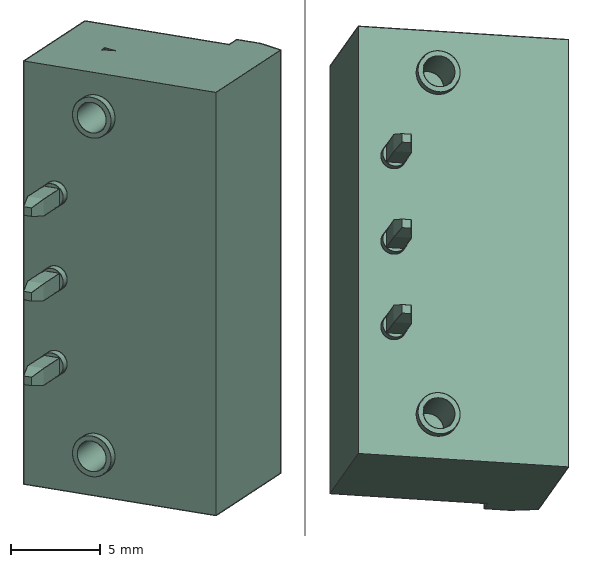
import cadquery as cq

width = 12.0
height = 25.0
body_depth = 7.65
lip_rise = 0.95
lip_start = 9.0
slope_start = 10.5
slope_drop = 0.5

pin_count = 3
pin_pitch = 5.0
pin_x = 2.0
pin_size = 1.0
pin_tip_size = 0.5
pin_length = 3.5
tip_length = 1.0
collar_diameter = 1.42
standoff = 0.5

peg_x = 4.5
peg_spacing = 20.0
peg_diameter = 2.4
peg_bore = 1.8
peg_bore_depth = 3.0

marker_x = 3.05
marker_y = 3.85
marker_length = 0.75
marker_width = 0.4
marker_depth = 0.1

center_z = height / 2
lip_top = body_depth + lip_rise
pin_heights = [center_z + (i - (pin_count - 1) / 2) * pin_pitch for i in range(pin_count)]
peg_heights = [center_z - peg_spacing / 2, center_z + peg_spacing / 2]


def front_plane(x, z, projection=0.0):
    """Plane facing -Y, centred on (x, z), the given distance in front of the housing."""
    return cq.Workplane(cq.Plane(origin=(x, -projection, z), xDir=(1, 0, 0), normal=(0, -1, 0)))


def make_housing():
    outline = [
        (0, 0),
        (width, 0),
        (width, lip_top - slope_drop),
        (slope_start, lip_top),
        (lip_start, lip_top),
        (lip_start, body_depth),
        (0, body_depth),
    ]
    return cq.Workplane("XY").polyline(outline).close().extrude(height)


def make_pin(z):
    """Square pin with a tapered tip, standing on a round collar."""
    shank_length = pin_length - tip_length
    collar = front_plane(pin_x, z).circle(collar_diameter / 2).extrude(standoff)
    shank = front_plane(pin_x, z).rect(pin_size, pin_size).extrude(shank_length)
    tip = (
        front_plane(pin_x, z, shank_length)
        .rect(pin_size, pin_size)
        .workplane(offset=tip_length)
        .rect(pin_tip_size, pin_tip_size)
        .loft(ruled=True)
    )
    return collar.union(shank).union(tip)


def make_peg(z):
    return front_plane(peg_x, z).circle(peg_diameter / 2).extrude(standoff)


def make_peg_bore(z):
    """Blind bore from the end of a peg into the housing."""
    return front_plane(peg_x, z, standoff).circle(peg_bore / 2).extrude(-peg_bore_depth)


def make_marker():
    corners = [
        (marker_x, marker_y - marker_width / 2),
        (marker_x + marker_length, marker_y),
        (marker_x, marker_y + marker_width / 2),
    ]
    return cq.Workplane("XY").workplane(offset=height).polyline(corners).close().extrude(-marker_depth)


result = make_housing().cut(make_marker())
for pin_z in pin_heights:
    result = result.union(make_pin(pin_z))
for peg_z in peg_heights:
    result = result.union(make_peg(peg_z)).cut(make_peg_bore(peg_z))